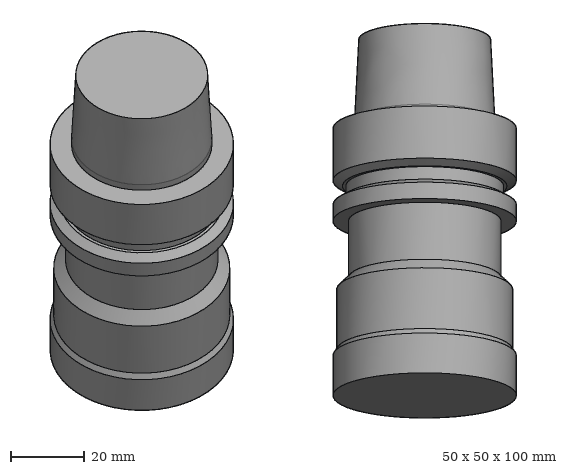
import cadquery as cq
import math

collar_diameter = 50.0
body_diameter = 48.0
neck_diameter = 41.6
flange_diameter = 50.0
groove_diameter = 43.0
groove_rim_diameter = 44.8
shank_base_diameter = 38.3
shank_top_diameter = 36.0

collar_edge_height = 11.2
collar_top_height = 12.7
body_edge_height = 29.8
body_top_height = 33.0

flange_bottom_height = 49.0
groove_bottom_height = 55.1
groove_width = 3.75
flank_angle = 30.0
flange_top_height = 75.0
flank_height = (flange_diameter - groove_rim_diameter) / 2 * math.tan(math.radians(flank_angle))
groove_top_height = groove_bottom_height + groove_width

shank_base_length = 2.0
total_height = 100.0

lower_corners = [
    (collar_diameter, 0),
    (collar_diameter, collar_edge_height),
    (body_diameter, collar_top_height),
    (body_diameter, body_edge_height),
    (neck_diameter, body_top_height),
    (neck_diameter, flange_bottom_height),
]

flange_corners = [
    (flange_diameter, flange_bottom_height),
    (flange_diameter, groove_bottom_height - flank_height),
    (groove_rim_diameter, groove_bottom_height),
    (groove_diameter, groove_bottom_height),
    (groove_diameter, groove_top_height),
    (groove_rim_diameter, groove_top_height),
    (flange_diameter, groove_top_height + flank_height),
    (flange_diameter, flange_top_height),
]

shank_corners = [
    (shank_base_diameter, flange_top_height),
    (shank_base_diameter, flange_top_height + shank_base_length),
    (shank_top_diameter, total_height),
]


def turned_solid(corners):
    """Revolve a half profile of (diameter, height) corners about the Z axis."""
    outline = [(diameter / 2, height) for diameter, height in corners]
    bottom_center = (0, outline[0][1])
    top_center = (0, outline[-1][1])
    profile = cq.Workplane("XZ").polyline([bottom_center] + outline + [top_center]).close()
    return profile.revolve(360, (0, 0), (0, 1))


result = turned_solid(lower_corners + flange_corners + shank_corners)